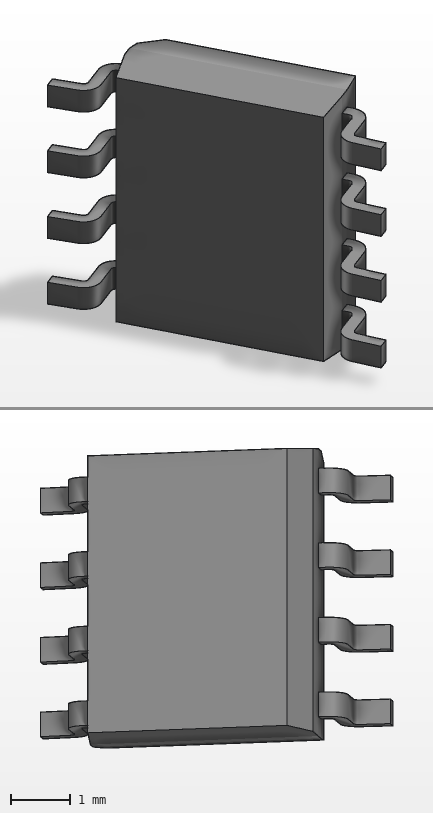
import cadquery as cq
import math


housing_length = 4.9
housing_width = 3.91
housing_top = 1.75
standoff = 0.25
draft_angle = 8.0
bevel_width = 0.32

lead_span = 6.0
lead_thickness = 0.23
lead_width = 0.42
lead_pitch = 1.27
leads_per_side = 4
leg_setback = 0.605
foot_angle = 3.0
inner_bend_radius = 0.09
outer_bend_radius = inner_bend_radius + lead_thickness

band_bottom = (housing_top + standoff - lead_thickness) / 2
band_top = band_bottom + lead_thickness
draft_height = housing_top - band_top
draft_inset = draft_height * math.tan(math.radians(draft_angle))


def housing_layer(y_start, height, taper=0.0):
    """A full-size rectangle at y_start, extruded along Y; a negative height goes down."""
    direction = math.copysign(1, height)
    plane = cq.Plane(origin=(0, y_start, 0), xDir=(1, 0, 0), normal=(0, direction, 0))
    return (
        cq.Workplane(plane)
        .rect(housing_width, housing_length)
        .extrude(abs(height), taper=taper)
    )


def make_bevel_cutter():
    """A 45 degree wedge along the top edge that marks the pin 1 side."""
    outer_x = -housing_width / 2
    bevel_reach = draft_inset + bevel_width
    return (
        cq.Workplane("XY")
        .moveTo(outer_x, housing_top)
        .lineTo(outer_x + bevel_reach, housing_top)
        .lineTo(outer_x, housing_top - bevel_reach)
        .close()
        .extrude(housing_length / 2, both=True)
    )


def make_housing():
    band = housing_layer(band_bottom, lead_thickness)
    upper = housing_layer(band_top, draft_height, draft_angle)
    lower = housing_layer(band_bottom, -draft_height, draft_angle)
    return band.union(upper).union(lower).cut(make_bevel_cutter())


def polar(center, radius, degrees):
    """The point at the given radius and angle around a center."""
    angle = math.radians(degrees)
    return (center[0] + radius * math.cos(angle), center[1] + radius * math.sin(angle))


def make_lead():
    """One lead on the +X side, centred on Z = 0, ending at the housing band."""
    tip_x = lead_span / 2
    root_x = housing_width / 2
    leg_outer_x = tip_x - leg_setback
    slope = math.radians(foot_angle)
    foot_tangent = 270 - foot_angle
    lower_middle = (180 + foot_tangent) / 2
    upper_middle = 45

    shoulder_bend = (leg_outer_x - outer_bend_radius, band_top - outer_bend_radius)
    foot_bend_x = leg_outer_x + inner_bend_radius
    foot_length = tip_x - (foot_bend_x - outer_bend_radius * math.sin(slope))
    foot_rise = foot_length * math.tan(slope)
    foot_bend = (foot_bend_x, foot_rise + outer_bend_radius * math.cos(slope))

    return (
        cq.Workplane("XY")
        .moveTo(root_x, band_top)
        .lineTo(*polar(shoulder_bend, outer_bend_radius, 90))
        .threePointArc(
            polar(shoulder_bend, outer_bend_radius, upper_middle),
            polar(shoulder_bend, outer_bend_radius, 0),
        )
        .lineTo(*polar(foot_bend, inner_bend_radius, 180))
        .threePointArc(
            polar(foot_bend, inner_bend_radius, lower_middle),
            polar(foot_bend, inner_bend_radius, foot_tangent),
        )
        .lineTo(tip_x, lead_thickness / math.cos(slope))
        .lineTo(tip_x, 0)
        .lineTo(*polar(foot_bend, outer_bend_radius, foot_tangent))
        .threePointArc(
            polar(foot_bend, outer_bend_radius, lower_middle),
            polar(foot_bend, outer_bend_radius, 180),
        )
        .lineTo(*polar(shoulder_bend, inner_bend_radius, 0))
        .threePointArc(
            polar(shoulder_bend, inner_bend_radius, upper_middle),
            polar(shoulder_bend, inner_bend_radius, 90),
        )
        .lineTo(root_x, band_bottom)
        .close()
        .extrude(lead_width / 2, both=True)
    )


def make_leads():
    """Two mirrored rows of leads, evenly spaced along Z."""
    right_lead = make_lead()
    left_lead = right_lead.mirror("YZ")
    leads = []
    for index in range(leads_per_side):
        z = (index - (leads_per_side - 1) / 2) * lead_pitch
        for lead in (right_lead, left_lead):
            leads.append(lead.translate((0, 0, z)).val())
    return leads


housing = make_housing()
leads = make_leads()

result = cq.Compound.makeCompound([housing.val(), *leads])